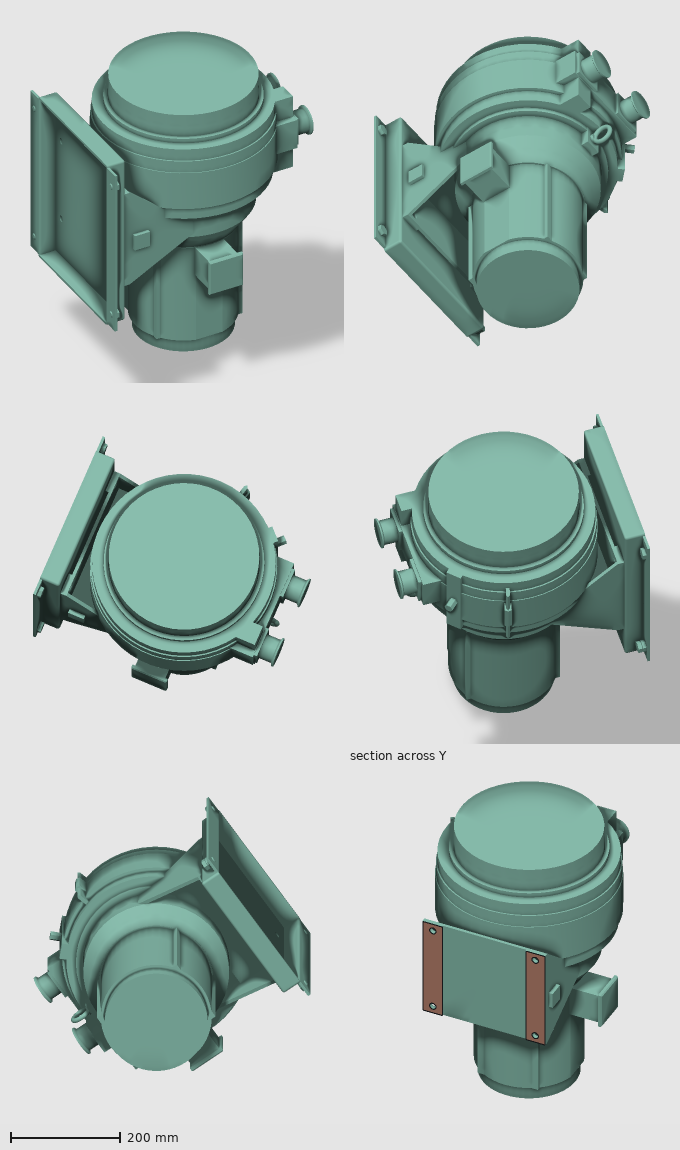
import cadquery as cq
import math


MOTOR_CAP_TOP = 28.5
MOTOR_TOP = 233.5
CONE_BOTTOM = 236.0
CONE_TOP = 277.0
NECK_TOP = 329.5
DRUM_BOTTOM = 338.5
DRUM_STEP_LOW = 365.0
DRUM_STEP_MID = 444.0
DRUM_STEP_HIGH = 468.5
DRUM_TOP = 493.0
COLLAR_TOP = 502.5
COVER_TOP = 548.5

MOTOR_CAP_RADIUS = 94.5
MOTOR_RADIUS = 101.5
CONE_BOTTOM_RADIUS = 105.0
NECK_BOTTOM_RADIUS = 133.5
NECK_TOP_RADIUS = 134.5
COLLAR_RADIUS = 147.0
DRUM_LOWER_RADIUS = 164.5
DRUM_RADIUS = 172.0
DRUM_UPPER_RADIUS = 170.5
DRUM_RIM_RADIUS = 168.0
COVER_BOTTOM_RADIUS = 139.0
COVER_TOP_RADIUS = 137.5

MOTOR_FLAT_X = 97.5
RIB_BLOCK_X = 123.0
RIB_BLOCK_Y = 179.0
TERMINAL_END = 164.5
TERMINAL_LID_THICKNESS = 7.5
TERMINAL_LID_SIDE = 70.0
TERMINAL_BOX_SIDE = 60.0
TERMINAL_LID_CHAMFER = 2.0
TERMINAL_Z = 202.5

MANIFOLD_LEFT = -89.0
MANIFOLD_RIGHT = 103.0
MANIFOLD_BACK = 181.0
MANIFOLD_HEIGHT = 61.5
MANIFOLD_Z = 417.5
PILLAR_LEFT = 52.0
PILLAR_RIGHT = 90.0
PILLAR_BACK = 179.5

NOZZLE_XS = (-51.5, 69.5)
NOZZLE_BASE_SIDE = 56.0
NOZZLE_BASE_THICKNESS = 6.0
NOZZLE_RADIUS = 23.0
NOZZLE_FLANGE_RADIUS = 28.0
NOZZLE_FLANGE_THICKNESS = 3.0
NOZZLE_FLARE = 3.0
NOZZLE_END = 218.5

EYE_Y = 168.5
EYE_Z = 319.0
EYE_RING_RADIUS = 17.0
EYE_WIRE_RADIUS = 4.5
EYE_BLOCK_BACK = 147.5
EYE_BLOCK_BOTTOM = 298.0
EYE_BLOCK_WIDTH = 33.0
EYE_COLLAR_RADIUS = 9.5
EYE_COLLAR_LENGTH = 5.5

PAD_ANGLE = 135.0
PAD_REACH = 175.5
PAD_WIDTH = 29.5
PAD_OFFSET = -10.5
PIN_REACH = 195.0
PIN_FLATS = 14.0
PIN_Z = 416.0

HINGE_ANGLE = 165.5
LEAF_SHOULDER = 185.0
LEAF_PEAK = 189.0
LEAF_WIDTH = 7.0
LEAF_BOTTOM = 353.0
LEAF_TOP = 479.0
KNUCKLE_SHOULDER = 189.0
KNUCKLE_PEAK = 192.0
KNUCKLE_WIDTH = 13.0
KNUCKLE_BOTTOM = 393.0
KNUCKLE_TOP = 439.0
HINGE_ROOT = 153.5

SHEET = 5.0
TRAY_BACK = -192.5
TRAY_MOUTH = -231.0
TRAY_HALF_WIDTH = 130.5
TRAY_BOTTOM = 144.0
TRAY_TOP = 495.5
FLANGE_HALF_WIDTH = 161.0
TRAY_EDGE_RADIUS = 4.65
BEND_RADIUS = 4.5
TRAY_HOLE_X = 104.0
TRAY_HOLE_ZS = (231.0, 401.5)
TRAY_HOLE_RADIUS = 6.0

BRACKET_HALF_WIDTH = 125.0
BRACKET_PLATE = 6.5
BRACKET_FRONT = -180.5
BRACKET_LIP = 6.0
BRACKET_LIP_INNER_X = 84.5
BRACKET_BOTTOM = 215.5
BRACKET_TOP = 417.0
ARM_TIP_Y = -47.5
ARM_TIP_Z = 285.0
ARM_SHOULDER_Y = -105.5
ARM_SHOULDER_Z = 354.5
SHELF_TOP = 323.5
SIDE_PAD_FRONT = -142.5
SIDE_PAD_LENGTH = 31.0
SIDE_PAD_THICKNESS = 7.5

BOLT_X = 146.5
BOLT_LOW_Z = 179.0
BOLT_HIGH_Z = 459.5
BOLT_RADIUS = 6.0
BOLT_TIP = -232.5
BOLT_TIP_CHAMFER = 1.5
HEX_FLATS = 18.5
HEX_HEIGHT = 7.0
NUT_GAP = 1.0


def box(x0, x1, y0, y1, z0, z1):
    return cq.Workplane("XY").box(x1 - x0, y1 - y0, z1 - z0, centered=False).translate((x0, y0, z0))


def turned(profile):
    """Solid of revolution about Z from (radius, height) points."""
    return cq.Workplane("XZ").polyline(profile).close().revolve(360, (0, 0), (0, 1))


def rod_y(x, z, radius, y0, y1):
    """Cylinder along Y from y0 to y1."""
    return cq.Workplane("XZ", origin=(x, y0, z)).circle(radius).extrude(y0 - y1)


def across_corners(flats):
    """Corner-to-corner width of a hexagon with the given width across flats."""
    return flats / math.cos(math.radians(30))


def make_motor():
    barrel = cq.Workplane("XY").circle(MOTOR_RADIUS).extrude(MOTOR_TOP - MOTOR_CAP_TOP)
    ribs = cq.Workplane("XY").rect(RIB_BLOCK_X, RIB_BLOCK_Y).extrude(MOTOR_TOP - MOTOR_CAP_TOP)
    flat_cut = box(MOTOR_FLAT_X, MOTOR_RADIUS, -MOTOR_RADIUS, MOTOR_RADIUS, 0, MOTOR_TOP)
    barrel = barrel.cut(flat_cut)
    cap = cq.Workplane("XY").circle(MOTOR_CAP_RADIUS).extrude(MOTOR_CAP_TOP)
    lid_start = TERMINAL_END - TERMINAL_LID_THICKNESS
    terminal_box = (
        cq.Workplane("YZ", origin=(0, 0, TERMINAL_Z))
        .rect(TERMINAL_BOX_SIDE, TERMINAL_BOX_SIDE)
        .extrude(lid_start)
    )
    lid = (
        cq.Workplane("YZ", origin=(lid_start, 0, TERMINAL_Z))
        .rect(TERMINAL_LID_SIDE, TERMINAL_LID_SIDE)
        .extrude(TERMINAL_LID_THICKNESS)
        .faces(">X")
        .chamfer(TERMINAL_LID_CHAMFER)
    )
    return barrel.union(ribs).translate((0, 0, MOTOR_CAP_TOP)).union(cap).union(terminal_box).union(lid)


def make_drum():
    return turned([
        (0, MOTOR_TOP),
        (CONE_BOTTOM_RADIUS, MOTOR_TOP),
        (CONE_BOTTOM_RADIUS, CONE_BOTTOM),
        (NECK_BOTTOM_RADIUS, CONE_TOP),
        (NECK_TOP_RADIUS, NECK_TOP),
        (COLLAR_RADIUS, NECK_TOP),
        (COLLAR_RADIUS, DRUM_BOTTOM),
        (DRUM_LOWER_RADIUS, DRUM_BOTTOM),
        (DRUM_LOWER_RADIUS, DRUM_STEP_LOW),
        (DRUM_RADIUS, DRUM_STEP_LOW),
        (DRUM_RADIUS, DRUM_STEP_MID),
        (DRUM_UPPER_RADIUS, DRUM_STEP_MID),
        (DRUM_UPPER_RADIUS, DRUM_STEP_HIGH),
        (DRUM_RIM_RADIUS, DRUM_STEP_HIGH),
        (DRUM_RIM_RADIUS, DRUM_TOP),
        (COLLAR_RADIUS, DRUM_TOP),
        (COLLAR_RADIUS, COLLAR_TOP),
        (COVER_BOTTOM_RADIUS, COLLAR_TOP),
        (COVER_TOP_RADIUS, COVER_TOP),
        (0, COVER_TOP),
    ])


def make_manifold():
    low = MANIFOLD_Z - MANIFOLD_HEIGHT / 2
    high = MANIFOLD_Z + MANIFOLD_HEIGHT / 2
    block = box(MANIFOLD_LEFT, MANIFOLD_RIGHT, 0, MANIFOLD_BACK, low, high)
    pillar = box(PILLAR_LEFT, PILLAR_RIGHT, 0, PILLAR_BACK, DRUM_BOTTOM, DRUM_TOP)
    return block.union(pillar)


def make_nozzle(x):
    """Pipe along Y on a square base, ending in a flared clamp flange."""
    half = NOZZLE_BASE_SIDE / 2
    base_end = MANIFOLD_BACK + NOZZLE_BASE_THICKNESS
    base = box(x - half, x + half, MANIFOLD_BACK, base_end, MANIFOLD_Z - half, MANIFOLD_Z + half)
    flange_start = NOZZLE_END - NOZZLE_FLANGE_THICKNESS
    profile = [
        (0, MANIFOLD_BACK),
        (NOZZLE_RADIUS, MANIFOLD_BACK),
        (NOZZLE_RADIUS, flange_start - NOZZLE_FLARE),
        (NOZZLE_FLANGE_RADIUS, flange_start),
        (NOZZLE_FLANGE_RADIUS, NOZZLE_END),
        (0, NOZZLE_END),
    ]
    pipe = cq.Workplane("XY").polyline(profile).close().revolve(360, (0, 0), (0, 1))
    return base.union(pipe.translate((x, 0, MANIFOLD_Z)))


def make_lifting_eye():
    half = EYE_BLOCK_WIDTH / 2
    block = box(-half, half, 0, EYE_BLOCK_BACK, EYE_BLOCK_BOTTOM, DRUM_BOTTOM)
    collar = rod_y(0, EYE_Z, EYE_COLLAR_RADIUS, EYE_BLOCK_BACK, EYE_BLOCK_BACK + EYE_COLLAR_LENGTH)
    ring = cq.Workplane(
        cq.Solid.makeTorus(EYE_RING_RADIUS, EYE_WIRE_RADIUS, cq.Vector(0, EYE_Y, EYE_Z), cq.Vector(1, 0, 0))
    )
    return block.union(collar).union(ring)


def make_pad():
    """Flat pad and its radial hexagonal pin, built along +X and then turned about the axis."""
    half = PAD_WIDTH / 2
    pad = box(0, PAD_REACH, PAD_OFFSET - half, PAD_OFFSET + half, DRUM_BOTTOM, DRUM_TOP)
    pin = (
        cq.Workplane("YZ", origin=(0, PAD_OFFSET, PIN_Z))
        .polygon(6, across_corners(PIN_FLATS))
        .extrude(PIN_REACH)
    )
    return pad.union(pin).rotate((0, 0, 0), (0, 0, 1), PAD_ANGLE)


def make_hinge_plate(shoulder, peak, width, bottom, top):
    """Upright plate along +X whose outer end comes to a peak."""
    half = width / 2
    outline = [(HINGE_ROOT, -half), (shoulder, -half), (peak, 0), (shoulder, half), (HINGE_ROOT, half)]
    return cq.Workplane("XY", origin=(0, 0, bottom)).polyline(outline).close().extrude(top - bottom)


def make_hinge():
    """Hinge leaf with a thicker knuckle, built along +X and then turned about the axis."""
    leaf = make_hinge_plate(LEAF_SHOULDER, LEAF_PEAK, LEAF_WIDTH, LEAF_BOTTOM, LEAF_TOP)
    knuckle = make_hinge_plate(
        KNUCKLE_SHOULDER, KNUCKLE_PEAK, KNUCKLE_WIDTH, KNUCKLE_BOTTOM, KNUCKLE_TOP
    )
    return leaf.union(knuckle).rotate((0, 0, 0), (0, 0, 1), HINGE_ANGLE)


def make_housing():
    body = make_drum().union(make_manifold()).union(make_lifting_eye())
    body = body.union(make_pad()).union(make_hinge())
    for x in NOZZLE_XS:
        body = body.union(make_nozzle(x))
    return body


def make_tray():
    inner_half = TRAY_HALF_WIDTH - SHEET
    inner_bottom = TRAY_BOTTOM + SHEET
    inner_top = TRAY_TOP - SHEET
    shell = box(-TRAY_HALF_WIDTH, TRAY_HALF_WIDTH, TRAY_MOUTH, TRAY_BACK, TRAY_BOTTOM, TRAY_TOP)
    shell = shell.edges("|Y").fillet(TRAY_EDGE_RADIUS).faces(">Y").edges().fillet(TRAY_EDGE_RADIUS)
    flanges = box(
        -FLANGE_HALF_WIDTH, FLANGE_HALF_WIDTH, TRAY_MOUTH, TRAY_MOUTH + SHEET, inner_bottom, inner_top
    )
    cavity = box(-inner_half, inner_half, TRAY_MOUTH, TRAY_BACK - SHEET, inner_bottom, inner_top)
    tray = shell.union(flanges).cut(cavity)
    for side in (-1, 1):
        mouth_edge = cq.selectors.NearestToPointSelector(
            (side * inner_half, TRAY_MOUTH, (TRAY_BOTTOM + TRAY_TOP) / 2)
        )
        tray = tray.edges(mouth_edge).fillet(BEND_RADIUS)
    for side in (-1, 1):
        for z in TRAY_HOLE_ZS:
            tray = tray.cut(rod_y(side * TRAY_HOLE_X, z, TRAY_HOLE_RADIUS, TRAY_MOUTH, TRAY_BACK))
        for z in (BOLT_LOW_Z, BOLT_HIGH_Z):
            tray = tray.cut(rod_y(side * BOLT_X, z, BOLT_RADIUS, TRAY_MOUTH, TRAY_BACK))
    return tray


def make_bracket(housing):
    arm = (
        cq.Workplane("YZ")
        .moveTo(TRAY_BACK, BRACKET_BOTTOM)
        .lineTo(BRACKET_FRONT, BRACKET_BOTTOM)
        .lineTo(ARM_TIP_Y, ARM_TIP_Z)
        .lineTo(ARM_TIP_Y, ARM_SHOULDER_Z)
        .lineTo(ARM_SHOULDER_Y, ARM_SHOULDER_Z)
        .lineTo(BRACKET_FRONT, BRACKET_TOP)
        .lineTo(TRAY_BACK, BRACKET_TOP)
        .close()
        .extrude(BRACKET_PLATE)
    )
    half = BRACKET_HALF_WIDTH
    lip_front = TRAY_BACK + BRACKET_LIP
    bracket = box(-half, half, lip_front, BRACKET_FRONT, BRACKET_BOTTOM, BRACKET_TOP)
    for arm_x, lip_x in ((-half, -half), (half - BRACKET_PLATE, BRACKET_LIP_INNER_X)):
        lip_end = lip_x + half - BRACKET_LIP_INNER_X
        bracket = bracket.union(arm.translate((arm_x, 0, 0)))
        bracket = bracket.union(box(lip_x, lip_end, TRAY_BACK, lip_front, BRACKET_BOTTOM, BRACKET_TOP))
    shelf = box(-half, half, BRACKET_FRONT, ARM_SHOULDER_Y, SHELF_TOP - BRACKET_PLATE, SHELF_TOP)
    pad_low = SHELF_TOP - SIDE_PAD_LENGTH
    side_pad = box(
        half, half + SIDE_PAD_THICKNESS, SIDE_PAD_FRONT - SIDE_PAD_LENGTH, SIDE_PAD_FRONT, pad_low, SHELF_TOP
    )
    bracket = bracket.union(shelf).union(side_pad)
    for side in (-1, 1):
        for z in TRAY_HOLE_ZS:
            bracket = bracket.cut(rod_y(side * TRAY_HOLE_X, z, TRAY_HOLE_RADIUS, TRAY_BACK, BRACKET_FRONT))
    return bracket.cut(housing)


def hexagon(x, z, y):
    """Hexagonal block along +Y from y, with a corner pointing up."""
    block = cq.Workplane("XY").polygon(6, across_corners(HEX_FLATS)).extrude(HEX_HEIGHT)
    return block.rotate((0, 0, 0), (0, 0, 1), 90).rotate((0, 0, 0), (1, 0, 0), -90).translate((x, y, z))


FLANGE_BACK = TRAY_MOUTH + SHEET
RAISED_HEAD_Y = FLANGE_BACK + HEX_HEIGHT + NUT_GAP


def make_bolt(x, z, head_y):
    shank = rod_y(x, z, BOLT_RADIUS, BOLT_TIP, head_y).faces("<Y").chamfer(BOLT_TIP_CHAMFER)
    return shank.union(hexagon(x, z, head_y))


def make_lock_nut(x, z):
    end = FLANGE_BACK + HEX_HEIGHT
    return hexagon(x, z, FLANGE_BACK).cut(rod_y(x, z, BOLT_RADIUS, FLANGE_BACK, end))


motor = make_motor()
housing = make_housing()
tray = make_tray()
bracket = make_bracket(housing)
bolt_places = (
    (-BOLT_X, BOLT_LOW_Z, RAISED_HEAD_Y),
    (-BOLT_X, BOLT_HIGH_Z, FLANGE_BACK),
    (BOLT_X, BOLT_LOW_Z, FLANGE_BACK),
    (BOLT_X, BOLT_HIGH_Z, FLANGE_BACK),
)
bolts = [make_bolt(*place) for place in bolt_places]
lock_nut = make_lock_nut(-BOLT_X, BOLT_LOW_Z)

result = cq.Compound.makeCompound([
    motor.val(),
    housing.val(),
    tray.val(),
    bracket.val(),
    *[bolt.val() for bolt in bolts],
    lock_nut.val(),
])